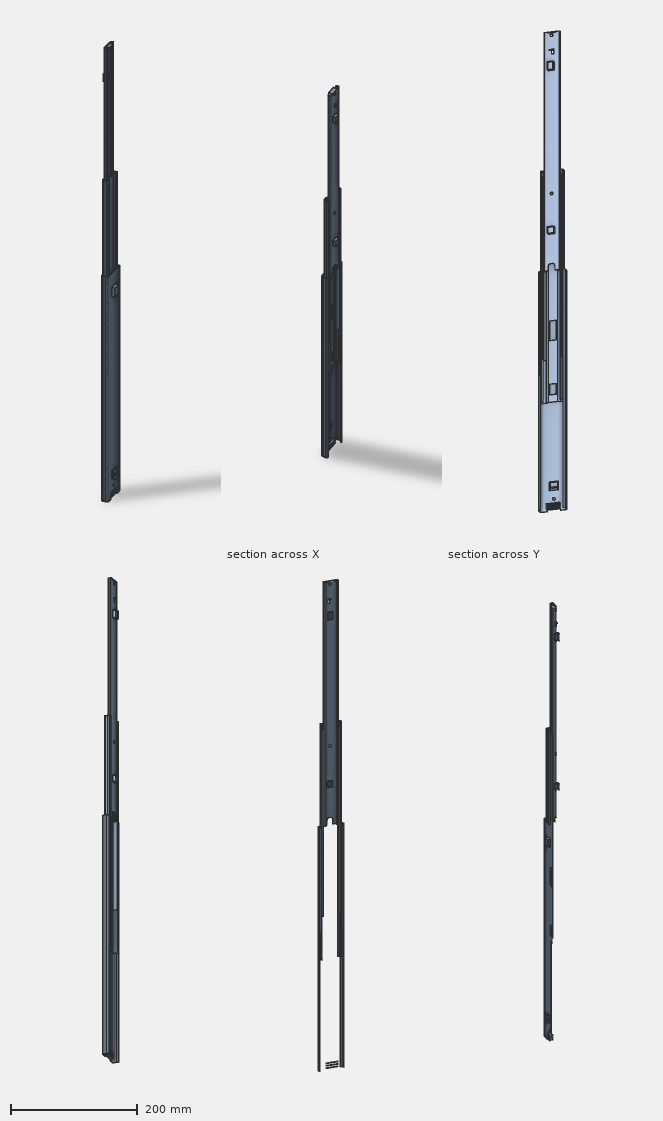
import cadquery as cq

MEMBER_LENGTH = 400.0
TOTAL_LENGTH = 2 * MEMBER_LENGTH
MIDDLE_BOTTOM = 181.5
MIDDLE_TOP = 568.0
INNER_BOTTOM = TOTAL_LENGTH - MEMBER_LENGTH

SLIDE_WIDTH = 45.46
OUTER_DEPTH = 11.6
OVERALL_DEPTH = 22.21
SHEET = 1.2
FRONT = -6.2
HOOK_REACH = OVERALL_DEPTH / 2

OUTER_HALF_WIDTH = SLIDE_WIDTH / 2
OUTER_BACK = OUTER_DEPTH / 2
OUTER_FRONT = -OUTER_BACK
OUTER_LIP = 18.8
OUTER_RADIUS = 2.4

MIDDLE_HALF_WIDTH = 18.4
MIDDLE_BACK = 3.8
MIDDLE_LIP = 14.5
MIDDLE_RADIUS = 1.3

INNER_HALF_WIDTH = 13.4
INNER_BACK = -0.4
INNER_LIP = 10.0
INNER_RADIUS = 2.0

TRACK_RADIUS = 2.4
TRACK_DEPTH = 0.5
OUTER_TRACK_X = 0.0
INNER_TRACK_X = (FRONT + INNER_BACK) / 2

STEP_HALF_WIDTH = 7.5
STEP_FOOT_HALF_WIDTH = 12.0
STEP_HEIGHT = 2.0
WINDOW_HALF_WIDTH = 5.5
MIDDLE_WINDOWS = [(194.0, 212.0), (285.0, 318.0)]

HOLE_DIAMETER = 4.5
INNER_HOLES = [794.5, 529.0]
TOP_TAB_HALF_WIDTH = 7.0
TOP_TAB_BACK = 1.5
BOTTOM_SLOT_WIDTH = 11.0
BOTTOM_SLOT_HEIGHT = 11.5
INNER_HOOKS = [((-4.5, 5.5), (735.5, 749.0)), ((-5.5, 5.5), (461.0, 472.0))]
LATCH_BOTTOM = 763.0
LATCH_TOP = 771.0
LATCH_HALF_WIDTH = 3.5
LATCH_HEIGHT = 1.5

OUTER_HOLE = 20.5
OUTER_HOOK_Y = (-7.5, 7.5)
UPPER_HOOK = (358.5, 375.0)
LOWER_HOOK = (35.0, 50.0)
LOWER_HOOK_BACK = 8.4
HOOK_SLOT = (39.5, 41.5)
HOOK_SLOT_HALF_WIDTH = 4.5
END_NOTCH_HALF_WIDTH = 11.0
END_NOTCH_HEIGHT = 2.6
END_RIB_COUNT = 3
END_RIB_PITCH = 4.0
END_RIB_FRONT = 0.0

CAGE_SHEET = 0.8
OUTER_CAGE = (227.0, 398.0)
OUTER_CAGE_CENTER = (MIDDLE_HALF_WIDTH + OUTER_HALF_WIDTH - SHEET) / 2
OUTER_CAGE_HALF_DEPTH = 3.6
INNER_CAGE = (253.0, 560.0)
INNER_CAGE_WALL = 15.0
INNER_CAGE_FRONT = -4.6
INNER_CAGE_FOOT = STEP_FOOT_HALF_WIDTH + 0.2


def block(x_range, y_range, z_range):
    """Box between two limits along each axis."""
    size = [limits[1] - limits[0] for limits in (x_range, y_range, z_range)]
    corner = (x_range[0], y_range[0], z_range[0])
    return cq.Workplane("XY").box(*size, centered=False).translate(corner)


def centered_block(x_range, half_width, z_range):
    """Box that is symmetric about Y = 0."""
    return block(x_range, (-half_width, half_width), z_range)


def channel(half_width, x_range, lip_y, radius, opens_front, z_range):
    """Sheet channel: flat web, rounded side walls and lips beside the open face."""
    shallow, deep = x_range
    solid = centered_block(x_range, half_width, z_range).edges("|Z").fillet(radius)
    hollow = centered_block((shallow + SHEET, deep - SHEET), half_width - SHEET, z_range)
    hollow = hollow.edges("|Z").fillet(radius - SHEET)
    center = (shallow + deep) / 2
    mouth_x = (shallow, center) if opens_front else (center, deep)
    return solid.cut(hollow).cut(centered_block(mouth_x, lip_y, z_range))


def ball_tracks(x, face_y, outside, z_range):
    """Round bars that press a shallow groove into a pair of wall faces at Y = +-face_y."""
    offset = TRACK_RADIUS - TRACK_DEPTH
    center_y = face_y + offset if outside else face_y - offset
    return (
        cq.Workplane("XY", origin=(0, 0, z_range[0]))
        .pushPoints([(x, center_y), (x, -center_y)])
        .circle(TRACK_RADIUS)
        .extrude(z_range[1] - z_range[0])
    )


def web_hole(z):
    """Round bar along X that pierces any web on the centre line."""
    return cq.Workplane("YZ").center(0, z).circle(HOLE_DIAMETER / 2).extrude(OVERALL_DEPTH, both=True)


def hook_window(web, y_range, z_range):
    """Opening left in a web under a bent-out hook; the hook arm stays joined above it."""
    return block(web, y_range, (z_range[0], z_range[1] - SHEET))


def hook(web_face, tip, y_range, z_range):
    """Hook pressed out of a web: an arm at the top, a plate hanging from it and two cheeks."""
    direction = 1 if tip > web_face else -1
    root = web_face - direction * SHEET / 2
    cover = block(sorted((root, tip)), y_range, z_range)
    inside_x = sorted((root, tip - direction * SHEET))
    inside_y = (y_range[0] + SHEET, y_range[1] - SHEET)
    return cover.cut(block(inside_x, inside_y, (z_range[0], z_range[1] - SHEET)))


def build_outer():
    """Fixed channel that opens toward -X, with two hooks and an end stop."""
    span = (0, MEMBER_LENGTH)
    web = (OUTER_BACK - SHEET, OUTER_BACK)
    body = channel(OUTER_HALF_WIDTH, (OUTER_FRONT, OUTER_BACK), OUTER_LIP, OUTER_RADIUS, True, span)
    body = body.cut(ball_tracks(OUTER_TRACK_X, OUTER_HALF_WIDTH - SHEET, False, span))
    for tip, hook_span in ((HOOK_REACH, UPPER_HOOK), (LOWER_HOOK_BACK, LOWER_HOOK)):
        body = body.cut(hook_window(web, OUTER_HOOK_Y, hook_span))
        body = body.union(hook(OUTER_BACK, tip, OUTER_HOOK_Y, hook_span))

    catch_z = (LOWER_HOOK[0], LOWER_HOOK[0] + SHEET)
    body = body.union(block((LOWER_HOOK_BACK - SHEET, HOOK_REACH), OUTER_HOOK_Y, catch_z))
    body = body.cut(centered_block((OUTER_BACK, LOWER_HOOK_BACK), HOOK_SLOT_HALF_WIDTH, HOOK_SLOT))
    body = body.cut(web_hole(OUTER_HOLE))

    body = body.cut(centered_block(web, END_NOTCH_HALF_WIDTH, (0, END_NOTCH_HEIGHT)))
    for index in range(END_RIB_COUNT):
        rib_bottom = END_NOTCH_HEIGHT + index * END_RIB_PITCH
        rib_z = (rib_bottom, rib_bottom + SHEET)
        body = body.union(centered_block((END_RIB_FRONT, OUTER_BACK), END_NOTCH_HALF_WIDTH, rib_z))
    return body


def web_step(base_x, z_range):
    """Trapezoidal bar, as tall as the step in the middle web, standing on X = base_x."""
    return (
        cq.Workplane("XY", origin=(0, 0, z_range[0]))
        .moveTo(base_x, -STEP_FOOT_HALF_WIDTH)
        .lineTo(base_x - STEP_HEIGHT, -STEP_HALF_WIDTH)
        .lineTo(base_x - STEP_HEIGHT, STEP_HALF_WIDTH)
        .lineTo(base_x, STEP_FOOT_HALF_WIDTH)
        .close()
        .extrude(z_range[1] - z_range[0])
    )


def build_middle():
    """Intermediate channel with a stepped web, running between the other two members."""
    span = (MIDDLE_BOTTOM, MIDDLE_TOP)
    body = channel(MIDDLE_HALF_WIDTH, (FRONT, MIDDLE_BACK), MIDDLE_LIP, MIDDLE_RADIUS, True, span)
    body = body.union(web_step(MIDDLE_BACK - SHEET, span)).cut(web_step(MIDDLE_BACK, span))
    body = body.cut(ball_tracks(OUTER_TRACK_X, MIDDLE_HALF_WIDTH, True, span))
    body = body.cut(ball_tracks(INNER_TRACK_X, MIDDLE_HALF_WIDTH - SHEET, False, span))
    for window in MIDDLE_WINDOWS:
        body = body.cut(centered_block((0, MIDDLE_BACK), WINDOW_HALF_WIDTH, window))
    return body


def build_inner():
    """Sliding channel that opens toward +X, with two hooks, a latch and an end tab."""
    span = (INNER_BOTTOM, TOTAL_LENGTH)
    web = (FRONT, FRONT + SHEET)
    body = channel(INNER_HALF_WIDTH, (FRONT, INNER_BACK), INNER_LIP, INNER_RADIUS, False, span)
    body = body.cut(ball_tracks(INNER_TRACK_X, INNER_HALF_WIDTH, True, span))
    tab_z = (TOTAL_LENGTH - SHEET, TOTAL_LENGTH)
    body = body.union(centered_block((FRONT, TOP_TAB_BACK), TOP_TAB_HALF_WIDTH, tab_z))
    for z in INNER_HOLES:
        body = body.cut(web_hole(z))

    slot_radius = BOTTOM_SLOT_WIDTH / 2
    slot_z = (INNER_BOTTOM, INNER_BOTTOM + BOTTOM_SLOT_HEIGHT)
    slot = centered_block(web, slot_radius, slot_z)
    slot = slot.edges("|X and >Z").fillet(slot_radius - SHEET)
    body = body.cut(slot)

    for hook_width, hook_span in INNER_HOOKS:
        body = body.cut(hook_window(web, hook_width, hook_span))
        body = body.union(hook(FRONT, -HOOK_REACH, hook_width, hook_span))

    body = body.cut(block(web, (-LATCH_HALF_WIDTH, 0), (LATCH_BOTTOM, LATCH_TOP)))
    lip_z = (LATCH_TOP - 2 * SHEET, LATCH_TOP - SHEET)
    return body.union(centered_block((FRONT - LATCH_HEIGHT, web[1]), LATCH_HALF_WIDTH, lip_z))


def build_outer_cage(side):
    """Flat ball strip between the walls of the outer and middle members."""
    edge = OUTER_CAGE_CENTER - CAGE_SHEET / 2
    y_range = sorted((side * edge, side * (edge + CAGE_SHEET)))
    return block((-OUTER_CAGE_HALF_DEPTH, OUTER_CAGE_HALF_DEPTH), y_range, OUTER_CAGE)


def build_inner_cage(side):
    """Angle-shaped ball strip whose foot rests on the web of the middle member."""
    floor = MIDDLE_BACK - SHEET
    far = INNER_CAGE_WALL + CAGE_SHEET
    wall_y = sorted((side * INNER_CAGE_WALL, side * far))
    foot_y = sorted((side * INNER_CAGE_FOOT, side * far))
    wall = block((INNER_CAGE_FRONT, floor), wall_y, INNER_CAGE)
    return wall.union(block((floor - CAGE_SHEET, floor), foot_y, INNER_CAGE))


outer = build_outer()
middle = build_middle()
inner = build_inner()
outer_cages = [build_outer_cage(side).val() for side in (-1, 1)]
inner_cages = [build_inner_cage(side).val() for side in (-1, 1)]
result = cq.Compound.makeCompound([outer.val(), middle.val(), inner.val(), *outer_cages, *inner_cages])